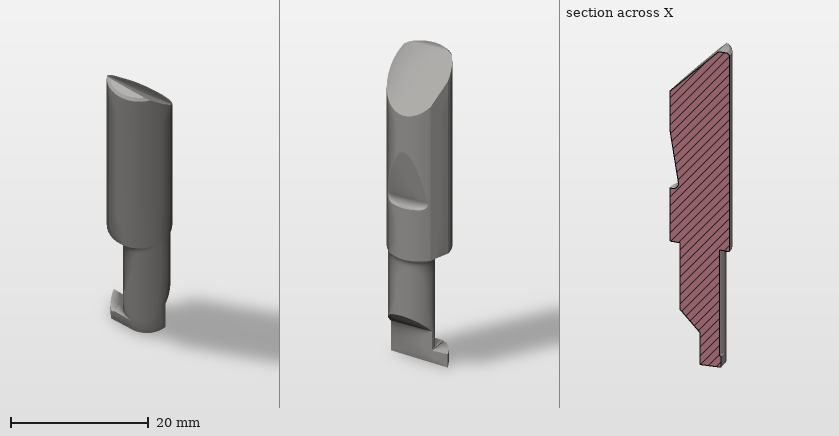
import cadquery as cq
import math


overall_length = 50.8
shank_diameter = 9.525
shank_radius = shank_diameter / 2
neck_length = 19.05
top_chamfer = 0.4
top_flat_y = -3.0
side_flat_angle = 20.5

notch_bottom_z = 27.6
notch_top_z = 36.9
notch_angle = 9.3
notch_corner_radius = 0.9

neck_diameter = 6.86
neck_radius = neck_diameter / 2
neck_x = shank_radius - neck_radius
neck_left_x = neck_x - neck_radius
rake_relief_start_z = 5.3

tip_x = -4.68
tip_width = 2.22
heel_x = -2.84
heel_y = -3.1
front_corner_x = -2.55
end_face_bulge = 0.22
web_height = 2.18
side_relief_angle = 3.0
back_relief_angle = 2.0

cutter_size = 4 * shank_diameter


def make_shank():
    shank_length = overall_length - neck_length
    shank = (
        cq.Workplane("XY")
        .workplane(offset=neck_length)
        .circle(shank_radius)
        .extrude(shank_length)
        .faces(">Z")
        .chamfer(top_chamfer)
    )
    return shank.cut(make_top_cutter()).cut(make_side_flat_cutter()).cut(make_notch_cutter())


def make_top_cutter():
    """Wedge above the 45 degree slope at the top of the shank."""
    return (
        cq.Workplane("YZ")
        .moveTo(top_flat_y, overall_length)
        .lineTo(top_flat_y + shank_diameter, overall_length - shank_diameter)
        .lineTo(top_flat_y + shank_diameter, overall_length)
        .close()
        .extrude(shank_diameter, both=True)
    )


def make_side_flat_cutter():
    """Block outside the flat, whose first edge is the -X extreme of the shank."""
    return (
        cq.Workplane("XY")
        .box(cutter_size, cutter_size, 2 * overall_length, centered=(True, True, False))
        .translate((-cutter_size / 2, 0, 0))
        .rotate((0, 0, 0), (0, 0, 1), -side_flat_angle)
        .translate((-shank_radius, 0, 0))
    )


def make_notch_cutter():
    """Notch with a level floor, a sloping back and a rounded inner corner."""
    notch_depth = (notch_top_z - notch_bottom_z) * math.tan(math.radians(notch_angle))
    notch = (
        cq.Workplane("YZ")
        .moveTo(shank_radius, notch_top_z)
        .lineTo(shank_radius - notch_depth, notch_bottom_z)
        .lineTo(shank_radius, notch_bottom_z)
        .close()
        .extrude(shank_diameter, both=True)
    )
    return notch.edges("|X").edges("<Y").fillet(notch_corner_radius)


def make_neck():
    neck = cq.Workplane("XY").center(neck_x, 0).circle(neck_radius).extrude(neck_length)
    rake_cutter = (
        cq.Workplane("YZ")
        .moveTo(0, -neck_radius)
        .lineTo(0, rake_relief_start_z)
        .lineTo(shank_diameter, rake_relief_start_z + shank_diameter)
        .lineTo(shank_diameter, -neck_radius)
        .close()
        .extrude(shank_diameter, both=True)
    )
    return neck.cut(rake_cutter)


def make_tip():
    """Hooked end of the head, with a top that slopes down toward -Y and +X."""
    chord_x = heel_x - tip_x
    chord_y = heel_y
    chord_length = math.hypot(chord_x, chord_y)
    bulge_point = (
        tip_x + chord_x / 2 + end_face_bulge * chord_y / chord_length,
        chord_y / 2 - end_face_bulge * chord_x / chord_length,
    )
    tip = (
        cq.Workplane("XY")
        .moveTo(tip_x, 0)
        .threePointArc(bulge_point, (heel_x, heel_y))
        .lineTo(front_corner_x, -neck_radius)
        .lineTo(neck_left_x, -neck_radius)
        .lineTo(neck_left_x, 0)
        .close()
        .extrude(2 * tip_width)
    )
    top_cutter = (
        cq.Workplane("XY")
        .box(cutter_size, cutter_size, cutter_size, centered=(True, True, False))
        .rotate((0, 0, 0), (1, 0, 0), side_relief_angle)
        .rotate((0, 0, 0), (0, 1, 0), back_relief_angle)
        .translate((tip_x, 0, tip_width))
    )
    return tip.cut(top_cutter)


def make_web():
    """Level-topped block that fills the corner between the tip and the neck."""
    return (
        cq.Workplane("XY")
        .box(neck_radius, neck_radius, web_height, centered=False)
        .translate((neck_left_x, -neck_radius, 0))
    )


def make_bottom_cutter():
    """Block below the relieved bottom plane, which passes through the cutting tip."""
    return (
        cq.Workplane("XY")
        .box(cutter_size, cutter_size, cutter_size)
        .translate((0, 0, -cutter_size / 2))
        .rotate((0, 0, 0), (1, 0, 0), -side_relief_angle)
        .rotate((0, 0, 0), (0, 1, 0), -back_relief_angle)
        .translate((tip_x, 0, 0))
    )


neck_and_head = make_neck().union(make_web()).union(make_tip()).cut(make_bottom_cutter())
result = make_shank().union(neck_and_head)